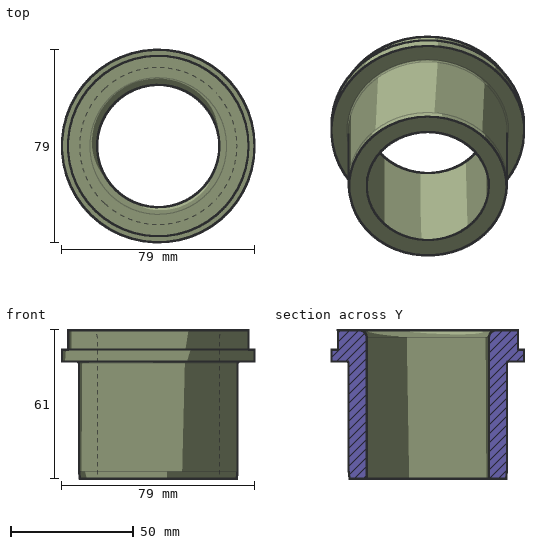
import cadquery as cq

total_height = 61.0
rim_height = 8.0
flange_thickness = 5.0
flange_top = total_height - rim_height
flange_bottom = flange_top - flange_thickness

flange_radius = 79 / 2
rim_radius = 73.9 / 2
sleeve_radius = 65.0 / 2
bore_radius = 50.0 / 2

mouth_round = 3.0
lead_in_height = 3.0
lead_in_depth = 0.3
neck_fillet = 0.6

outer_profile = (
    cq.Workplane("XZ")
    .lineTo(sleeve_radius - lead_in_depth, 0)
    .lineTo(sleeve_radius, lead_in_height)
    .lineTo(sleeve_radius, flange_bottom - neck_fillet)
    .radiusArc((sleeve_radius + neck_fillet, flange_bottom), neck_fillet)
    .lineTo(flange_radius, flange_bottom)
    .lineTo(flange_radius, flange_top)
    .lineTo(rim_radius, flange_top)
    .lineTo(rim_radius, total_height)
    .lineTo(0, total_height)
    .close()
)
body = outer_profile.revolve(360, (0, 0, 0), (0, 1, 0))

bore = cq.Workplane("XY").circle(bore_radius).extrude(total_height)
body = body.cut(bore)
bore_rim = body.faces(">Z").edges(cq.selectors.RadiusNthSelector(0))
result = bore_rim.fillet(mouth_round)